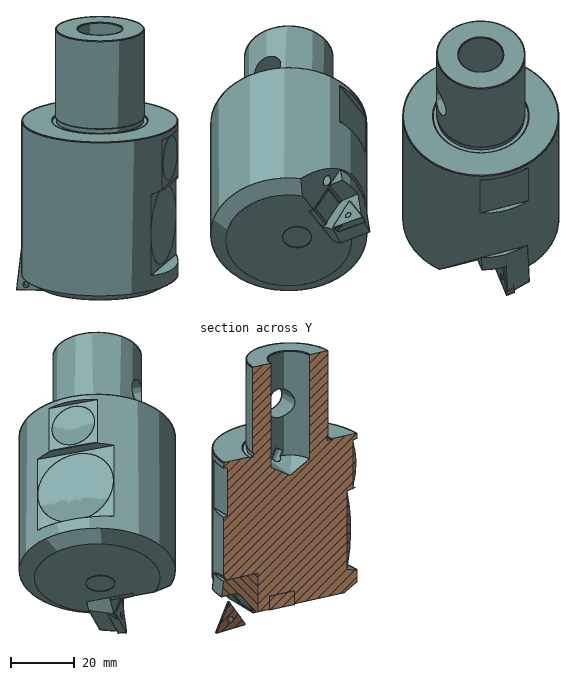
import cadquery as cq
import math


shank_radius = 13.9
shank_length = 30.0
shank_chamfer = 0.3
undercut_radius = 13.7
undercut_height = 1.05
face_groove_radius = 15.15
face_groove_depth = 0.3
cross_hole_radius = 4.8
cross_hole_height = 12.6

bore_radius = 7.0
bore_end_z = -5.2
bore_cone_depth = bore_radius * math.tan(math.radians(30))
bore_chamfer = 0.3
coolant_radius = 1.5
coolant_inlet = cq.Vector(-1.1, 6.6, bore_end_z)
coolant_outlet = cq.Vector(-19.6, 9.6, -44.9)
coolant_overrun = 2.6

head_diameter = 49.0
head_radius = head_diameter / 2
head_length = 53.0
head_top_chamfer = 0.3
bottom_chamfer_width = 4.8
bottom_chamfer_height = bottom_chamfer_width * math.tan(math.radians(30))

flare = math.tan(math.radians(12))
flat_distance = 23.2
flat_top_z = -2.2
flat_bottom_z = -18.2
recess_distance = 21.0
recess_top_z = -18.9
recess_bottom_z = -45.3

lock_cap_radius = 7.05
lock_cap_height = 1.05
dial_radius = 12.5
dial_height = 1.3

slope_top_z = -38.3
slope = math.tan(math.radians(53))

slide_half_width = 7.7
slide_back_x = -11.9
slide_top_z = -40.0
slide_top_radius = 24.6
outer_lean = 0.12
chip_pocket_top_z = -45.2
chip_pocket_wall = 0.6
chip_pocket_depth = 0.5

arm_rake_top_x = -slide_top_radius
arm_rake_outer_z = -56.8
arm_rake_inner = (-16.1, -56.4)
arm_heel_top_x = -23.2
arm_heel_outer_z = -55.5
arm_heel_inner = (-14.3, -54.8)

insert_center = (-21.95, -53.6)
insert_corner_distance = 6.45
insert_nose_radius = 0.35
insert_tilt = 34.2
insert_front_y = 0.5
insert_thickness = 2.7
insert_relief = 7.0
insert_screw_radius = 1.0
insert_screw_setback = 1.7

clamp_radius = 4.5
clamp_x = -3.05
clamp_depth = 4.35
clamp_protrusion = 0.3

clear = 4.35


def box(x0, x1, y0, y1, z0, z1):
    """Box between the given limits."""
    return cq.Workplane("XY").box(x1 - x0, y1 - y0, z1 - z0, centered=False).translate((x0, y0, z0))


def prism_along_y(points, y0, y1):
    """Solid with an outline of (X, Z) points, reaching from y0 to y1."""
    return cq.Workplane("XZ", origin=(0, y0, 0)).polyline(points).close().extrude(y0 - y1)


def slope_x(z):
    """X of the sloped cut at height z."""
    return -head_radius + (slope_top_z - z) / slope


def flared_cut(side, distance, top_z, bottom_z):
    """Flat cut across the head on the +X (side = 1) or -X (side = -1) side."""
    outer = head_radius + clear
    spread = (outer - distance) * flare
    points = [
        (side * distance, bottom_z),
        (side * outer, bottom_z - spread),
        (side * outer, top_z + spread),
        (side * distance, top_z),
    ]
    return prism_along_y(points, -head_radius, head_radius)


def turned_blank():
    """Shank and head with the undercut and the face groove, revolved about Z."""
    outline = [
        (0, -head_length),
        (head_radius - bottom_chamfer_width, -head_length),
        (head_radius, -head_length + bottom_chamfer_height),
        (head_radius, -head_top_chamfer),
        (head_radius - head_top_chamfer, 0),
        (face_groove_radius, 0),
        (face_groove_radius - face_groove_depth, -face_groove_depth),
        (undercut_radius, -face_groove_depth),
        (undercut_radius, undercut_height),
        (shank_radius, undercut_height + shank_radius - undercut_radius),
        (shank_radius, shank_length - shank_chamfer),
        (shank_radius - shank_chamfer, shank_length),
        (0, shank_length),
    ]
    return cq.Workplane("XZ").polyline(outline).close().revolve(360, (0, 0), (0, 1))


def central_bore():
    outline = [
        (0, bore_end_z - bore_cone_depth),
        (bore_radius, bore_end_z),
        (bore_radius, shank_length - bore_chamfer),
        (bore_radius + bore_chamfer, shank_length),
        (0, shank_length),
    ]
    return cq.Workplane("XZ").polyline(outline).close().revolve(360, (0, 0), (0, 1))


def cross_hole():
    """Round hole from the +Y side of the shank into the bore."""
    hole = cq.Workplane("XZ", origin=(0, 0, cross_hole_height)).circle(cross_hole_radius)
    return hole.extrude(-(shank_radius + clear))


def coolant_hole():
    """Hole from the end of the bore to the sloped cut."""
    run = coolant_outlet - coolant_inlet
    direction = run.normalized()
    start = coolant_inlet - direction * coolant_overrun
    length = run.Length + 2 * coolant_overrun
    return cq.Workplane(obj=cq.Solid.makeCylinder(coolant_radius, length, start, direction))


def sloped_cut():
    """Cut on the tool side, open toward +Y and closed by a wall at the heel of the slide."""
    top_z = slope_top_z + slope * clear
    low_z = -head_length - clear
    points = [(slope_x(top_z), top_z), (slope_x(low_z), low_z), (slope_x(top_z), low_z)]
    return prism_along_y(points, -slide_half_width, head_radius)


def slide_slot():
    outer_x = -head_radius - clear
    low_z = -head_length - clear
    return box(outer_x, slide_back_x, -slide_half_width, slide_half_width, low_z, slide_top_z)


def clamp_screw():
    """Round screw head set into the bottom face."""
    bottom_z = -head_length - clamp_protrusion
    screw = cq.Workplane("XY", origin=(clamp_x, 0, bottom_z)).circle(clamp_radius)
    return screw.extrude(clamp_depth + clamp_protrusion)


def domed_cap(radius, height, floor_x, center_z):
    """Spherical cap that stands on a flat facing +X."""
    mid_radius = radius / 2
    sphere_radius = (radius**2 + height**2) / (2 * height)
    mid_x = height - sphere_radius + math.sqrt(sphere_radius**2 - mid_radius**2)
    cap = (
        cq.Workplane("XZ")
        .lineTo(height, 0)
        .threePointArc((mid_x, mid_radius), (0, radius))
        .close()
        .revolve(360, (0, 0), (1, 0))
    )
    return cap.translate((floor_x, 0, center_z))


def make_housing():
    housing = turned_blank().cut(central_bore()).cut(cross_hole())
    for side in (-1, 1):
        housing = housing.cut(flared_cut(side, flat_distance, flat_top_z, flat_bottom_z))
    housing = housing.cut(flared_cut(1, recess_distance, recess_top_z, recess_bottom_z))
    housing = housing.cut(sloped_cut()).cut(slide_slot())
    return housing.cut(coolant_hole()).cut(clamp_screw())


def arm_outline(top_x, outer_z, inner):
    """(X, Z) outline of the tool arm; its outer face leans outward toward the bottom."""
    outer_x = top_x - outer_lean * (slide_top_z - outer_z)
    return [
        (slide_back_x, slide_top_z),
        (top_x, slide_top_z),
        (outer_x, outer_z),
        inner,
        (slide_back_x, -head_length),
    ]


def tool_arm():
    """Arm on the -Y half of the slide, relieved from the rake face back to the heel."""
    rake = arm_outline(arm_rake_top_x, arm_rake_outer_z, arm_rake_inner)
    heel = arm_outline(arm_heel_top_x, arm_heel_outer_z, arm_heel_inner)
    return (
        cq.Workplane("XZ")
        .polyline(rake)
        .close()
        .workplane(offset=slide_half_width)
        .polyline(heel)
        .close()
        .loft(ruled=True)
    )


def slope_wedge(depth, y1, top_z, bottom_z):
    """Space in front of a face parallel to the sloped cut and set inward from it by depth."""
    points = [
        (-head_radius - clear, top_z),
        (slope_x(top_z) + depth, top_z),
        (slope_x(bottom_z) + depth, bottom_z),
        (-head_radius - clear, bottom_z),
    ]
    return prism_along_y(points, 0, y1)


def guide_block():
    """+Y half of the slide: conical outside above, with a sloped chip pocket below."""
    height = slide_top_z + head_length
    bottom_radius = slide_top_radius + outer_lean * height
    cone = cq.Solid.makeCone(bottom_radius, slide_top_radius, height, cq.Vector(0, 0, -head_length))
    bounds = box(-bottom_radius, slide_back_x, 0, slide_half_width, -head_length, slide_top_z)
    block = bounds.intersect(cq.Workplane(obj=cone))
    block = block.cut(slope_wedge(0, slide_half_width, chip_pocket_top_z, -head_length))
    pocket = slope_wedge(
        chip_pocket_depth,
        slide_half_width - chip_pocket_wall,
        chip_pocket_top_z - chip_pocket_wall,
        -head_length + chip_pocket_wall,
    )
    return block.cut(pocket)


def insert_blank():
    """Triangle with rounded corners, tapering toward its back face."""
    corner_radius = insert_corner_distance - 2 * insert_nose_radius
    corners = []
    for turn in (180, 300, 60):
        angle = math.radians(turn + insert_tilt)
        corners.append((corner_radius * math.cos(angle), corner_radius * math.sin(angle)))
    return (
        cq.Workplane("XZ", origin=(insert_center[0], insert_front_y, insert_center[1]))
        .polyline(corners)
        .close()
        .offset2D(insert_nose_radius)
        .extrude(insert_thickness, taper=insert_relief)
    )


def screw_rod(front_y, back_y):
    """Rod along Y through the middle of the insert."""
    rod = cq.Workplane("XZ", origin=(insert_center[0], front_y, insert_center[1]))
    return rod.circle(insert_screw_radius).extrude(front_y - back_y)


def make_slide():
    slide = tool_arm().union(guide_block())
    slide = slide.cut(insert_blank())
    return slide.cut(screw_rod(insert_front_y, -slide_half_width))


housing = make_housing()
slide = make_slide()
insert_screw = screw_rod(insert_front_y, -slide_half_width + insert_screw_setback)
insert = insert_blank().cut(insert_screw)
lock_cap = domed_cap(lock_cap_radius, lock_cap_height, flat_distance, (flat_top_z + flat_bottom_z) / 2)
dial = domed_cap(dial_radius, dial_height, recess_distance, (recess_top_z + recess_bottom_z) / 2)
clamp = clamp_screw()

bodies = [housing, slide, insert, insert_screw, lock_cap, dial, clamp]
result = cq.Compound.makeCompound([body.solids().val() for body in bodies])